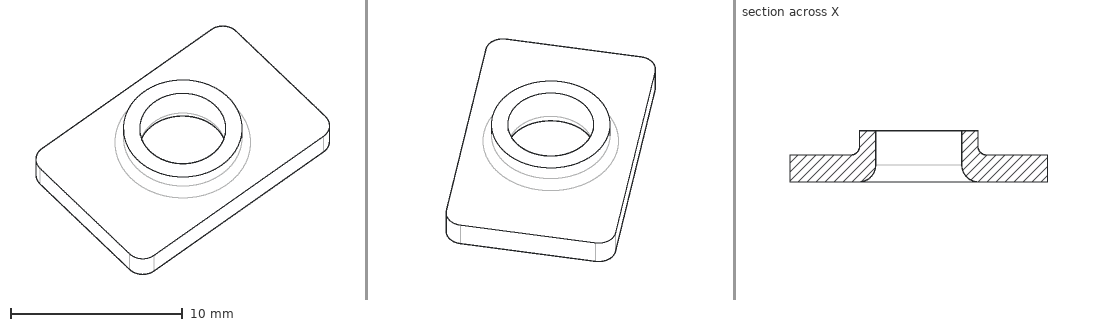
import cadquery as cq

plate_width = 10.0
plate_length = 15.0
plate_thickness = 1.59
corner_radius = 1.0

total_height = 3.0
collar_diameter = 6.9
hole_diameter = 5.0
root_fillet = 0.5
hole_bottom_round = 1.0

plate = (
    cq.Workplane("XY")
    .rect(plate_width, plate_length)
    .extrude(plate_thickness)
    .edges("|Z")
    .fillet(corner_radius)
)

collar_radius = collar_diameter / 2
collar = (
    cq.Workplane("XZ")
    .lineTo(collar_radius + root_fillet, 0)
    .lineTo(collar_radius + root_fillet, plate_thickness)
    .radiusArc((collar_radius, plate_thickness + root_fillet), root_fillet)
    .lineTo(collar_radius, total_height)
    .lineTo(0, total_height)
    .close()
    .revolve(360, (0, 0), (0, 1))
)

hole = cq.Workplane("XY").circle(hole_diameter / 2).extrude(total_height)
result = (
    plate.union(collar)
    .cut(hole)
    .faces("<Z")
    .edges("%CIRCLE")
    .edges(cq.selectors.RadiusNthSelector(-1))
    .fillet(hole_bottom_round)
)